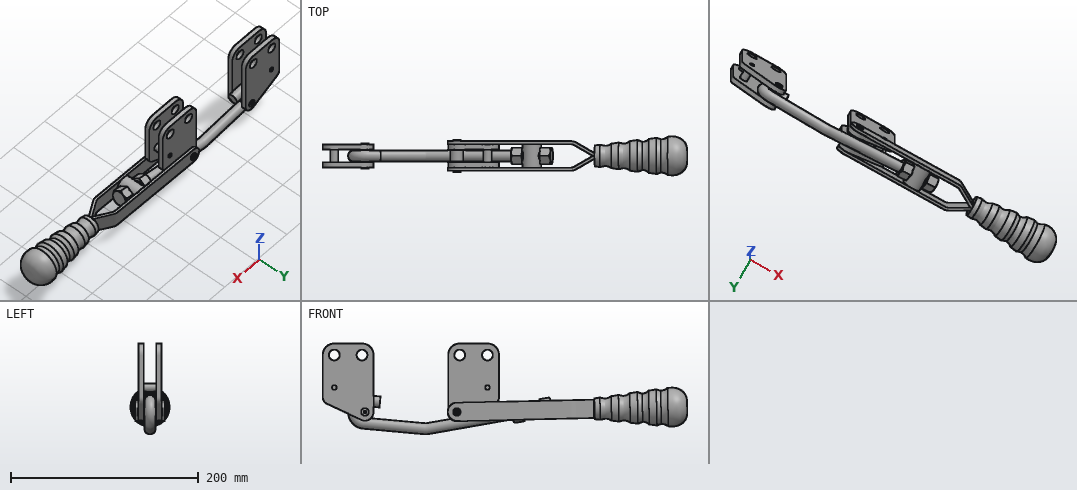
import cadquery as cq
import math


plate_gap = 13.2
plate_thickness = 6.0
plate_outer_y = plate_gap / 2 + plate_thickness
plate_width = 54.5
plate_top_z = 73.0
pivot_corner_radius = 9.5
top_corner_radius = 12.5
sloped_corner_radius = 7.8
slope_angle = 25
mount_hole_diameter = 11.3
mount_hole_inset = 12.5

spacer_x = -32.5
spacer_z = 26.0
spacer_diameter = 9.0
spacer_seat_diameter = 5.0
spacer_seat_depth = 0.8

rivet_head_diameter = 8.0
catch_pin_diameter = 10.0
catch_head_height = 1.0
catch_recess_diameter = 2.7
catch_recess_depth = 0.8
pivot_x = 98.0
pivot_core_diameter = 14.0
pivot_washer_diameter = 19.5
pivot_washer_thickness = 0.8
pivot_head_height = 1.5
pivot_recess_diameter = 5.5
pivot_recess_depth = 2.7

bar_diameter = 12.0
hook_radius = 12.0
hook_tail_length = 15.0
hook_angle = 5.2
bar_bend_x = 65.3
bar_bend_radius = 11.5
bar_rise_angle = 10.0

trunnion_x = 178.0
trunnion_diameter = 20.2
nut_across_flats = 18.0
nut_outer_distance = 21.5
nut_inner_distance = 9.7
nut_chamfer = 1.5

handle_tilt = 1.3
arm_thickness = 3.5
arm_height = 20.0
arm_bend_start = 124.5
arm_bend_angle = 30
arm_bend_radius = 11.5
grip_start = 147.0
grip_end = 245.5
tang_depth = 4.0
grip_rings = [
    ((grip_start, 11.3), (152.7, 12.0), (158.0, 11.0)),
    ((164.7, 13.2), (172.5, 14.5), (177.5, 13.2)),
    ((184.5, 16.0), (192.7, 17.0), (197.8, 15.0)),
    ((204.8, 18.3), (213.0, 19.5), (217.5, 18.0)),
]
knob_start = (225.0, 20.5)
knob_slope = (1, 0.2)
knob_radius = 21.0
knob_shoulder_radius = 15.0

arm_outer_y = plate_outer_y + arm_thickness


def y_cylinder(diameter, length, x=0.0, z=0.0):
    """Cylinder along Y, centred on the XZ plane."""
    return cq.Workplane("XZ", origin=(x, length / 2, z)).circle(diameter / 2).extrude(length)


def plate_pair():
    """Two parallel plates with the pivot corner rounded about the origin."""
    right_x = pivot_corner_radius
    left_x = right_x - plate_width
    slope = math.radians(slope_angle)
    tangent_x = -pivot_corner_radius * math.sin(slope)
    tangent_z = -pivot_corner_radius * math.cos(slope)
    left_corner_z = tangent_z + (tangent_x - left_x) * math.tan(slope)
    mid_angle = (90 + slope_angle) / 2 - slope_angle
    mid_point = (
        pivot_corner_radius * math.sin(math.radians(mid_angle)),
        -pivot_corner_radius * math.cos(math.radians(mid_angle)),
    )
    plates = (
        cq.Workplane("XZ", origin=(0, plate_outer_y, 0))
        .moveTo(left_x, plate_top_z)
        .lineTo(left_x, left_corner_z)
        .lineTo(tangent_x, tangent_z)
        .threePointArc(mid_point, (right_x, 0))
        .lineTo(right_x, plate_top_z)
        .close()
        .extrude(2 * plate_outer_y)
    )
    plates = plates.edges("|Y and >Z").fillet(top_corner_radius)
    plates = plates.edges(cq.selectors.NearestToPointSelector((left_x, 0, left_corner_z)))
    plates = plates.fillet(sloped_corner_radius)

    hole_z = plate_top_z - mount_hole_inset
    for hole_x in (left_x + mount_hole_inset, right_x - mount_hole_inset):
        plates = plates.cut(y_cylinder(mount_hole_diameter, 2 * plate_outer_y, hole_x, hole_z))

    plate_box = plates.val().BoundingBox()
    gap = cq.Workplane("XY", origin=plate_box.center.toTuple()).box(plate_box.xlen, plate_gap, plate_box.zlen)
    return plates.cut(gap)


def bracket():
    """Plate pair with its spacer rod seated slightly below the outer faces."""
    seat = y_cylinder(spacer_seat_diameter, 2 * plate_outer_y, spacer_x, spacer_z)
    spacer_length = 2 * (plate_outer_y - spacer_seat_depth)
    rod = y_cylinder(spacer_seat_diameter, spacer_length, spacer_x, spacer_z)
    sleeve = y_cylinder(spacer_diameter, plate_gap, spacer_x, spacer_z)
    return plate_pair().cut(seat).union(rod).union(sleeve)


def catch_pin():
    """Pin with flat-recessed rivet heads on the outside of the catch plates."""
    head_y = plate_outer_y + catch_head_height
    pin = y_cylinder(rivet_head_diameter, 2 * head_y).union(y_cylinder(catch_pin_diameter, plate_gap))
    recesses = y_cylinder(catch_recess_diameter, 2 * head_y).cut(
        y_cylinder(catch_recess_diameter, 2 * (head_y - catch_recess_depth))
    )
    return pin.cut(recesses)


def pivot_pin():
    """Pivot pin with a thick core, two washers and conical recesses in its heads."""
    head_y = arm_outer_y + pivot_head_height
    washers = y_cylinder(pivot_washer_diameter, plate_gap).cut(
        y_cylinder(pivot_washer_diameter, plate_gap - 2 * pivot_washer_thickness)
    )
    pin = y_cylinder(rivet_head_diameter, 2 * head_y)
    pin = pin.union(y_cylinder(pivot_core_diameter, plate_gap)).union(washers)
    for side in (-1, 1):
        recess = cq.Solid.makeCone(
            pivot_recess_diameter / 2,
            0,
            pivot_recess_depth,
            pnt=cq.Vector(0, side * head_y, 0),
            dir=cq.Vector(0, -side, 0),
        )
        pin = pin.cut(cq.Workplane(recess))
    return pin.translate((pivot_x, 0, 0))


fall = math.radians(hook_angle)
rise = math.radians(bar_rise_angle)
bar_bend_z = -hook_radius / math.cos(fall) - bar_bend_x * math.tan(fall)


def along_rise(distance):
    """Point on the rising part of the bar, measured from the bend corner."""
    return (bar_bend_x + distance * math.cos(rise), bar_bend_z + distance * math.sin(rise))


trunnion_distance = (trunnion_x - bar_bend_x) / math.cos(rise)
trunnion_z = along_rise(trunnion_distance)[1]


def hook_bar():
    """Round bar that hooks around the catch pin, dips and rises to the outer nut."""
    hook_top = (hook_radius * math.sin(fall), hook_radius * math.cos(fall))
    hook_left = (-hook_radius * math.cos(fall), hook_radius * math.sin(fall))
    hook_bottom = (-hook_top[0], -hook_top[1])
    tail_end = (
        hook_top[0] + hook_tail_length * math.cos(fall),
        hook_top[1] - hook_tail_length * math.sin(fall),
    )
    bend_half_angle = (fall + rise) / 2
    bend_tangent = bar_bend_radius * math.tan(bend_half_angle)
    bend_start = (
        bar_bend_x - bend_tangent * math.cos(fall),
        bar_bend_z + bend_tangent * math.sin(fall),
    )
    bend_lift = bar_bend_radius * (1 / math.cos(bend_half_angle) - 1)
    bisector = (rise - fall) / 2
    bend_middle = (
        bar_bend_x - bend_lift * math.sin(bisector),
        bar_bend_z + bend_lift * math.cos(bisector),
    )
    path = (
        cq.Workplane("XZ")
        .moveTo(*tail_end)
        .lineTo(*hook_top)
        .threePointArc(hook_left, hook_bottom)
        .lineTo(*bend_start)
        .threePointArc(bend_middle, along_rise(bend_tangent))
        .lineTo(*along_rise(trunnion_distance + nut_outer_distance))
    )
    section_plane = cq.Plane(
        origin=(tail_end[0], 0, tail_end[1]),
        xDir=(0, 1, 0),
        normal=(-math.cos(fall), 0, math.sin(fall)),
    )
    return cq.Workplane(section_plane).circle(bar_diameter / 2).sweep(path)


def trunnion_and_nuts():
    """Cross barrel between the handle arms, clamped by two nuts with chamfered outer ends."""
    parts = y_cylinder(trunnion_diameter, 2 * plate_outer_y, trunnion_x, trunnion_z)
    across_corners = nut_across_flats / math.cos(math.radians(30))
    nut_thickness = nut_outer_distance - nut_inner_distance
    for side in (-1, 1):
        nut_plane = cq.Plane(
            origin=(trunnion_x, 0, trunnion_z),
            xDir=(-math.sin(rise), 0, math.cos(rise)),
            normal=(side * math.cos(rise), 0, side * math.sin(rise)),
        )
        seat = cq.Workplane(nut_plane).workplane(offset=nut_inner_distance)
        hexagon = seat.polygon(6, across_corners).extrude(nut_thickness)
        envelope = seat.circle(across_corners / 2).extrude(nut_thickness)
        envelope = envelope.faces(cq.selectors.DirectionMinMaxSelector(nut_plane.zDir, True))
        parts = parts.union(hexagon.intersect(envelope.chamfer(nut_chamfer)))
    return parts


def handle_arm():
    """One arm on the +Y side: straight, bent inward and ending in a tang on the axis."""
    bend = math.radians(arm_bend_angle)
    bend_run = (arm_outer_y - arm_thickness) / math.tan(bend)
    inner_shift = arm_thickness * math.tan(bend / 2)
    tang_start = arm_bend_start + bend_run
    tang_end = grip_start + tang_depth
    outer_corner = (arm_bend_start, arm_outer_y)
    inner_corner = (arm_bend_start - inner_shift, plate_outer_y)
    arm = (
        cq.Workplane("XY", origin=(0, 0, -arm_height / 2))
        .polyline([
            (0, arm_outer_y),
            outer_corner,
            (tang_start, arm_thickness),
            (tang_end, arm_thickness),
            (tang_end, 0),
            (tang_start - inner_shift, 0),
            inner_corner,
            (0, plate_outer_y),
        ])
        .close()
        .extrude(arm_height)
    )
    for corner, radius in ((outer_corner, arm_bend_radius), (inner_corner, arm_bend_radius - arm_thickness)):
        arm = arm.edges(cq.selectors.NearestToPointSelector((*corner, 0))).fillet(radius)
    rounded_end = (
        cq.Workplane("XZ", origin=(0, arm_outer_y, 0)).circle(arm_height / 2).extrude(arm_thickness)
    )
    return arm.union(rounded_end)


def flare_to(profile, groove, edge):
    """Concave arc that leaves the groove parallel to the axis and rises to the next edge."""
    run = edge[0] - groove[0]
    climb = edge[1] - groove[1]
    radius = (run**2 + climb**2) / (2 * climb)
    half_sweep = math.atan2(climb, run)
    middle = (
        groove[0] + radius * math.sin(half_sweep),
        groove[1] + radius * (1 - math.cos(half_sweep)),
    )
    return profile.threePointArc(middle, edge)


def grip():
    """Ribbed, widening grip with a rounded knob at its end."""
    next_edges = [ring[0] for ring in grip_rings[1:]] + [knob_start]
    profile = cq.Workplane("XY").moveTo(grip_start, 0).lineTo(*grip_rings[0][0])
    for (_, crest, groove), next_edge in zip(grip_rings, next_edges):
        profile = flare_to(profile.lineTo(*crest).lineTo(*groove), groove, next_edge)
    end_face_radius = knob_radius - knob_shoulder_radius
    diagonal_inset = knob_shoulder_radius * (1 - math.sqrt(0.5))
    shoulder = (grip_end - diagonal_inset, knob_radius - diagonal_inset)
    profile = (
        profile.spline(
            [shoulder, (grip_end, end_face_radius)],
            tangents=[knob_slope, (0, -1)],
            includeCurrent=True,
        )
        .lineTo(grip_end, 0)
        .close()
    )
    return profile.revolve(360, (0, 0, 0), (1, 0, 0))


def handle():
    """Both arms and the grip, tilted about the pivot and moved to it."""
    arm = handle_arm()
    body = arm.union(arm.mirror("XZ")).union(grip())
    return body.rotate((0, 0, 0), (0, 1, 0), -handle_tilt).translate((pivot_x, 0, 0))


catch_bracket = bracket().union(catch_pin())

clamp = (
    bracket()
    .mirror("YZ")
    .translate((pivot_x, 0, 0))
    .union(pivot_pin())
    .union(handle())
    .union(hook_bar())
    .union(trunnion_and_nuts())
)

result = cq.Compound.makeCompound([catch_bracket.val(), clamp.val()])